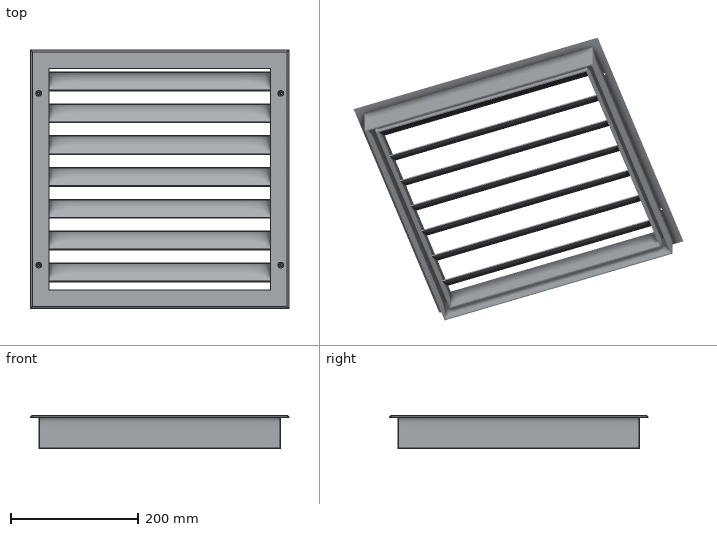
import cadquery as cq

OUTER_SIDE = 407.0
FLANGE_THICKNESS = 3.9
FLANGE_CHAMFER = 3.0

HOLE_X = 190.5
HOLE_Y = 135.0
HOLE_DIAMETER = 4.0
COUNTERSINK_DIAMETER = 9.0
COUNTERSINK_ANGLE = 90.0

OPENING_SIDE = 348.5
SLEEVE_WALL = 2.0
SLEEVE_HEIGHT = 43.5

LOUVER_COUNT = 7
LOUVER_PITCH = 50.0
LOUVER_WIDTH = 40.3
LOUVER_THICKNESS = 1.5
LOUVER_TILT = -45.0
LOUVER_CENTER_Y = 3.5
LOUVER_CENTER_Z = 37.0

COLLAR_SIDE = 379.7
COLLAR_HEIGHT = 48.0
COLLAR_WALL = 2.0

TOTAL_HEIGHT = COLLAR_HEIGHT + FLANGE_THICKNESS
SLEEVE_SIDE = OPENING_SIDE + 2 * SLEEVE_WALL
SLEEVE_BOTTOM = TOTAL_HEIGHT - SLEEVE_HEIGHT
COLLAR_INNER_SIDE = COLLAR_SIDE - 2 * COLLAR_WALL


def square_prism(side, bottom, top):
    """Square prism centred on the Z axis between two heights."""
    return cq.Workplane("XY", origin=(0, 0, bottom)).rect(side, side).extrude(top - bottom)


def make_flange():
    """Square plate with a bevelled outer top edge and countersunk screw holes."""
    return (
        square_prism(OUTER_SIDE, COLLAR_HEIGHT, TOTAL_HEIGHT)
        .faces(">Z").edges().chamfer(FLANGE_CHAMFER)
        .faces(">Z").workplane()
        .rect(2 * HOLE_X, 2 * HOLE_Y, forConstruction=True)
        .vertices()
        .cskHole(HOLE_DIAMETER, COUNTERSINK_DIAMETER, COUNTERSINK_ANGLE)
    )


def make_louver(center_y):
    """One flat blade that spans the opening and slopes down toward +Y."""
    return (
        cq.Workplane("XY")
        .box(OPENING_SIDE, LOUVER_WIDTH, LOUVER_THICKNESS)
        .rotate((0, 0, 0), (1, 0, 0), LOUVER_TILT)
        .translate((0, center_y, LOUVER_CENTER_Z))
    )


def make_louvered_frame():
    """Flange and sleeve in one piece, with a row of louvers across the opening."""
    sleeve = square_prism(SLEEVE_SIDE, SLEEVE_BOTTOM, COLLAR_HEIGHT)
    opening = square_prism(OPENING_SIDE, SLEEVE_BOTTOM, TOTAL_HEIGHT)
    frame = make_flange().union(sleeve).cut(opening)
    for index in range(LOUVER_COUNT):
        steps_from_middle = index - (LOUVER_COUNT - 1) / 2
        frame = frame.union(make_louver(LOUVER_CENTER_Y + steps_from_middle * LOUVER_PITCH))
    return frame


def make_collar():
    """Thin square collar that stands under the flange, around the sleeve."""
    outside = square_prism(COLLAR_SIDE, 0, COLLAR_HEIGHT)
    inside = square_prism(COLLAR_INNER_SIDE, 0, COLLAR_HEIGHT)
    return outside.cut(inside)


louvered_frame = make_louvered_frame().solids()
collar = make_collar().solids()

result = cq.Compound.makeCompound([louvered_frame.val(), collar.val()])